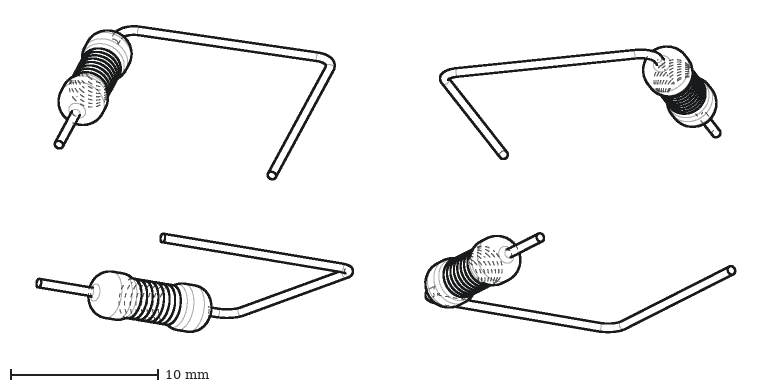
import cadquery as cq
import math


wire_diameter = 0.6
lead_pitch = 15.0
lead_end_y = -9.1
crossbar_y = 6.7
bend_radius = 1.2

body_length = 9.0
cap_diameter = 3.2
waist_diameter = 2.72
dome_radius = 1.12
neck_fillet = 0.32
cap_straight = 0.86

band_diameter = 2.74
band_count = 4
band_width = 0.46

wire_radius = wire_diameter / 2
cap_radius = cap_diameter / 2
waist_radius = waist_diameter / 2
waist_half_length = (2 * band_count - 1) * band_width / 2
dome_start_y = body_length / 2 - dome_radius
shoulder_y = dome_start_y - cap_straight


def waist_and_cap():
    """Revolve the whole waist with the +Y shoulder, cap and neck."""
    middle_radius = (waist_radius + cap_radius) / 2
    middle_y = (waist_half_length + shoulder_y) / 2

    dome_centre_r = cap_radius - dome_radius
    neck_centre_r = wire_radius + neck_fillet
    centre_distance = dome_radius + neck_fillet
    contact_angle = math.acos((neck_centre_r - dome_centre_r) / centre_distance)
    neck_y = dome_start_y + centre_distance * math.sin(contact_angle)
    contact_r = dome_centre_r + dome_radius * math.cos(contact_angle)
    contact_y = dome_start_y + dome_radius * math.sin(contact_angle)

    return (
        cq.Workplane("XY")
        .moveTo(0, -waist_half_length)
        .lineTo(waist_radius, -waist_half_length)
        .lineTo(waist_radius, waist_half_length)
        .tangentArcPoint((middle_radius, middle_y), relative=False)
        .tangentArcPoint((cap_radius, shoulder_y), relative=False)
        .lineTo(cap_radius, dome_start_y)
        .tangentArcPoint((contact_r, contact_y), relative=False)
        .tangentArcPoint((wire_radius, neck_y), relative=False)
        .lineTo(0, neck_y)
        .close()
        .revolve(360, (0, 0), (0, 1))
    )


def y_cylinder(diameter, start_y, end_y):
    """Cylinder on the Y axis between two Y positions."""
    return (
        cq.Workplane("XZ", origin=(0, start_y, 0))
        .circle(diameter / 2)
        .extrude(start_y - end_y)
    )


def straight_lead():
    return y_cylinder(wire_diameter, lead_end_y, 0)


def bent_lead():
    """Lead leaving the +Y end, crossing along X and returning toward -Y."""
    path = (
        cq.Workplane("XY")
        .lineTo(0, crossbar_y - bend_radius)
        .tangentArcPoint((bend_radius, crossbar_y), relative=False)
        .lineTo(lead_pitch - bend_radius, crossbar_y)
        .tangentArcPoint((lead_pitch, crossbar_y - bend_radius), relative=False)
        .lineTo(lead_pitch, lead_end_y)
    )
    return cq.Workplane("XZ").circle(wire_radius).sweep(path)


one_sided_body = waist_and_cap()
result = one_sided_body.union(one_sided_body.mirror("XZ"))
for band in range(band_count):
    band_start_y = -waist_half_length + 2 * band * band_width
    result = result.union(y_cylinder(band_diameter, band_start_y, band_start_y + band_width))
result = result.union(straight_lead()).union(bent_lead())